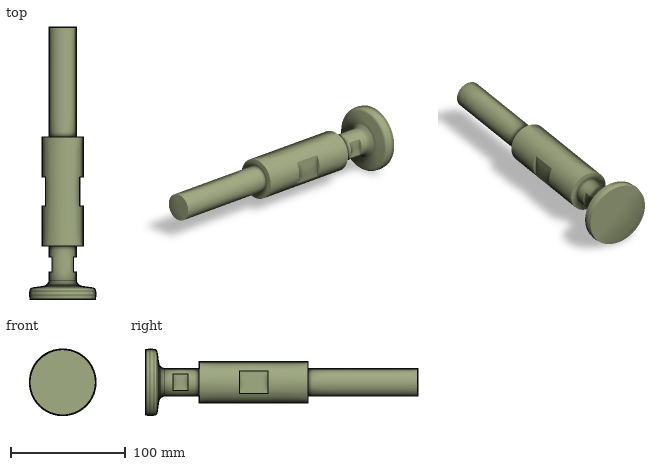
import cadquery as cq

total_length = 237.0
foot_diameter = 58.0
rod_diameter = 24.0
foot_radius = foot_diameter / 2
rod_radius = rod_diameter / 2
foot_face_y = -total_length / 2

sleeve_diameter = 36.0
sleeve_length = 95.0
sleeve_start_y = foot_face_y + 46.5
sleeve_flat_length = 25.0
sleeve_across_flats = 30.0

neck_flat_length = 12.8
neck_flat_center_y = foot_face_y + 30.3
neck_across_flats = 19.0

face_radius = 28.5
widest_height = 3.8
shoulder_height = 7.3
shoulder_radius = 28.7
rim_height = 10.0
rim_radius = 26.3
cone_height = 11.5
cone_radius = 15.2
flare_height = 13.0
flare_radius = 13.5
neck_height = 16.5


def cut_wrench_flats(body, center_y, length, across_flats, body_diameter):
    """Cut two parallel flats, facing -X and +X, into a round body."""
    depth = (body_diameter - across_flats) / 2
    for side in (-1, 1):
        flat_center_x = side * (across_flats + depth) / 2
        cutter = cq.Workplane("XY").box(depth, length, body_diameter)
        body = body.cut(cutter.translate((flat_center_x, center_y, 0)))
    return body


def make_spindle():
    """Rod and round foot, revolved as one body about the Y axis."""
    spindle = (
        cq.Workplane("XY", origin=(0, foot_face_y, 0))
        .moveTo(0, total_length)
        .lineTo(rod_radius, total_length)
        .lineTo(rod_radius, neck_height)
        .tangentArcPoint((flare_radius, flare_height), relative=False)
        .lineTo(cone_radius, cone_height)
        .lineTo(rim_radius, rim_height)
        .tangentArcPoint((shoulder_radius, shoulder_height), relative=False)
        .lineTo(foot_radius, widest_height)
        .lineTo(face_radius, 0)
        .lineTo(0, 0)
        .close()
        .revolve(360, (0, 0, 0), (0, 1, 0))
    )
    return cut_wrench_flats(
        spindle, neck_flat_center_y, neck_flat_length, neck_across_flats, rod_diameter
    )


def make_sleeve():
    """Round sleeve whose bore fits the rod."""
    sleeve_center_y = sleeve_start_y + sleeve_length / 2
    sleeve = (
        cq.Workplane("XZ", origin=(0, sleeve_start_y, 0))
        .circle(sleeve_diameter / 2)
        .circle(rod_radius)
        .extrude(-sleeve_length)
    )
    return cut_wrench_flats(
        sleeve, sleeve_center_y, sleeve_flat_length, sleeve_across_flats, sleeve_diameter
    )


spindle = make_spindle()
sleeve = make_sleeve()

result = cq.Compound.makeCompound([spindle.val(), sleeve.val()])